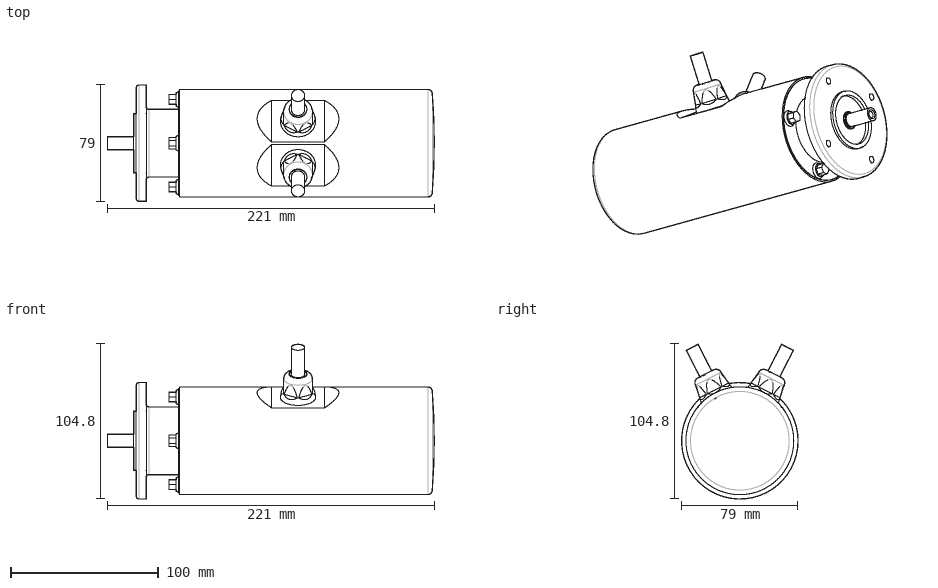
import cadquery as cq
import math

TOTAL_LENGTH = 221.0

SHAFT_DIAMETER = 9.0

CENTRE_MOUTH_DIAMETER = 6.2
CENTRE_ENTRY_DIAMETER = 4.5
CENTRE_ENTRY_DEPTH = 4.5
CENTRE_DRILL_DIAMETER = 3.5
CENTRE_DRILL_DEPTH = 8.8
COUNTERSINK_HALF_ANGLE = 45.0
DRILL_TIP_HALF_ANGLE = 60.0

PILOT_FACE_X = 17.7
PILOT_DIAMETER = 40.0
PILOT_RECESS_DIAMETER = 34.0
PILOT_RECESS_DEPTH = 2.7
COLLAR_DIAMETER = 12.0
COLLAR_FACE_DIAMETER = 10.8
COLLAR_HEIGHT = 1.3

FLANGE_FACE_X = 19.5
FLANGE_BACK_X = 26.3
FLANGE_DIAMETER = 79.0
FLANGE_FACE_DIAMETER = 75.0
FLANGE_EDGE_RADIUS = (FLANGE_DIAMETER - FLANGE_FACE_DIAMETER) / 2
FLANGE_HOLE_DIAMETER = 4.5
FLANGE_HOLE_SPACING = 44.6

HUB_DIAMETER = 46.0
HUB_FILLET = 1.8

HOUSING_FACE_X = 48.2
HOUSING_DIAMETER = 73.0
HOUSING_STEP_DIAMETER = 70.7
HOUSING_STEP_LENGTH = 0.5
HOUSING_REAR_FILLET = 3.0
HOUSING_REAR_DOME = 1.3

SCREW_COUNT = 4
SCREW_CIRCLE_RADIUS = 29.6
SCREW_HEAD_FACE_X = 41.5
SCREW_HEX_CORNERS = 7.7
SCREW_COLLAR_LENGTH = 1.8
SCREW_COLLAR_FRONT_DIAMETER = 9.0
SCREW_COLLAR_BACK_DIAMETER = 10.8

GLAND_TILT = 27.0
GLAND_X = 128.8
FLAT_DISTANCE = 33.0
FLAT_LENGTH = 35.8
FLAT_RAMP_ANGLE = 20.0

GLAND_BASE_DIAMETER = 23.9
GLAND_CAP_DIAMETER = 19.5
GLAND_CONE_TOP = 47.0
GLAND_HEX_FLATS = 19.7
GLAND_HEX_BOTTOM = 38.2
GLAND_LEDGE_ANGLE = 40.0
GLAND_MOUTH_DIAMETER = 12.0
GLAND_MOUTH_DEPTH = 0.7
GLAND_CAP_ROUND = (GLAND_CAP_DIAMETER - GLAND_MOUTH_DIAMETER) / 2
GLAND_TOP = GLAND_CONE_TOP + GLAND_CAP_ROUND
CABLE_DIAMETER = 9.0
CABLE_END = 71.0


def disc(x_start, x_end, diameter):
    """Cylinder on the motor axis between two X positions."""
    return cq.Workplane("YZ", origin=(x_start, 0, 0)).circle(diameter / 2).extrude(x_end - x_start)


def make_flange():
    """Flange with a rounded front edge, a recessed pilot boss, a shaft collar and four mounting holes."""
    flange = disc(FLANGE_FACE_X, FLANGE_BACK_X, FLANGE_DIAMETER)
    flange = flange.faces("<X").edges().fillet(FLANGE_EDGE_RADIUS)
    flange = flange.union(disc(PILOT_FACE_X, FLANGE_BACK_X, PILOT_DIAMETER))

    recess_floor_x = PILOT_FACE_X + PILOT_RECESS_DEPTH
    flange = flange.cut(disc(PILOT_FACE_X, recess_floor_x, PILOT_RECESS_DIAMETER))

    collar = disc(recess_floor_x - COLLAR_HEIGHT, recess_floor_x, COLLAR_DIAMETER)
    collar = collar.faces("<X").edges().chamfer((COLLAR_DIAMETER - COLLAR_FACE_DIAMETER) / 2)
    flange = flange.union(collar)

    holes = (
        cq.Workplane("YZ", origin=(FLANGE_FACE_X, 0, 0))
        .rect(FLANGE_HOLE_SPACING, FLANGE_HOLE_SPACING, forConstruction=True)
        .vertices()
        .circle(FLANGE_HOLE_DIAMETER / 2)
        .extrude(FLANGE_BACK_X - FLANGE_FACE_X)
    )
    return flange.cut(holes)


def make_hub():
    """Hub whose front end flares into the back of the flange."""
    radius = HUB_DIAMETER / 2
    return (
        cq.Workplane("XY")
        .moveTo(FLANGE_BACK_X, 0)
        .lineTo(FLANGE_BACK_X, radius + HUB_FILLET)
        .radiusArc((FLANGE_BACK_X + HUB_FILLET, radius), -HUB_FILLET)
        .lineTo(HOUSING_FACE_X, radius)
        .lineTo(HOUSING_FACE_X, 0)
        .close()
        .revolve(360, (0, 0, 0), (1, 0, 0))
    )


def make_housing():
    """Housing cylinder with a stepped front, a rounded rear edge and a domed rear face."""
    radius = HOUSING_DIAMETER / 2
    dome_edge_x = TOTAL_LENGTH - HOUSING_REAR_DOME
    dome_edge_radius = radius - HOUSING_REAR_FILLET
    dome_radius = (dome_edge_radius**2 + HOUSING_REAR_DOME**2) / (2 * HOUSING_REAR_DOME)
    return (
        cq.Workplane("XY")
        .moveTo(HOUSING_FACE_X, 0)
        .lineTo(HOUSING_FACE_X, HOUSING_STEP_DIAMETER / 2)
        .lineTo(HOUSING_FACE_X + HOUSING_STEP_LENGTH, HOUSING_STEP_DIAMETER / 2)
        .lineTo(HOUSING_FACE_X + HOUSING_STEP_LENGTH, radius)
        .lineTo(dome_edge_x - HOUSING_REAR_FILLET, radius)
        .radiusArc((dome_edge_x, dome_edge_radius), HOUSING_REAR_FILLET)
        .radiusArc((TOTAL_LENGTH, 0), dome_radius)
        .close()
        .revolve(360, (0, 0, 0), (1, 0, 0))
    )


def make_shaft():
    """Shaft with a stepped centre hole in its tip."""
    shaft = disc(0, FLANGE_BACK_X, SHAFT_DIAMETER)
    mouth_radius = CENTRE_MOUTH_DIAMETER / 2
    entry_radius = CENTRE_ENTRY_DIAMETER / 2
    drill_radius = CENTRE_DRILL_DIAMETER / 2
    countersink_depth = (mouth_radius - entry_radius) / math.tan(math.radians(COUNTERSINK_HALF_ANGLE))
    drill_tip_length = drill_radius / math.tan(math.radians(DRILL_TIP_HALF_ANGLE))
    centre_hole = (
        cq.Workplane("XY")
        .lineTo(0, mouth_radius)
        .lineTo(countersink_depth, entry_radius)
        .lineTo(CENTRE_ENTRY_DEPTH, entry_radius)
        .lineTo(CENTRE_ENTRY_DEPTH, drill_radius)
        .lineTo(CENTRE_DRILL_DEPTH, drill_radius)
        .lineTo(CENTRE_DRILL_DEPTH + drill_tip_length, 0)
        .close()
        .revolve(360, (0, 0, 0), (1, 0, 0))
    )
    return shaft.cut(centre_hole)


def make_screw(angle):
    """Hexagon screw head with its collar, turned about the motor axis to its place."""
    collar_x = HOUSING_FACE_X - SCREW_COLLAR_LENGTH
    head = (
        cq.Workplane("YZ", origin=(SCREW_HEAD_FACE_X, 0, SCREW_CIRCLE_RADIUS))
        .polygon(6, SCREW_HEX_CORNERS)
        .extrude(collar_x - SCREW_HEAD_FACE_X)
    )
    collar = (
        cq.Workplane("YZ", origin=(collar_x, 0, SCREW_CIRCLE_RADIUS))
        .circle(SCREW_COLLAR_FRONT_DIAMETER / 2)
        .workplane(offset=SCREW_COLLAR_LENGTH)
        .circle(SCREW_COLLAR_BACK_DIAMETER / 2)
        .loft()
    )
    return head.union(collar).rotate((0, 0, 0), (1, 0, 0), angle)


def make_flat_cutter(tilt):
    """Block above one gland flat, widening outward along the two end ramps."""
    height = HOUSING_DIAMETER / 2
    half_bottom = FLAT_LENGTH / 2
    half_top = half_bottom + height / math.tan(math.radians(FLAT_RAMP_ANGLE))
    top = FLAT_DISTANCE + height
    return (
        cq.Workplane("XZ", origin=(GLAND_X, 0, 0))
        .moveTo(-half_bottom, FLAT_DISTANCE)
        .lineTo(half_bottom, FLAT_DISTANCE)
        .lineTo(half_top, top)
        .lineTo(-half_top, top)
        .close()
        .extrude(HOUSING_DIAMETER / 2, both=True)
        .rotate((0, 0, 0), (1, 0, 0), tilt)
    )


def make_motor():
    """Motor with its flange, hub, housing, shaft and screws as one body."""
    motor = make_housing()
    for side in (-1, 1):
        motor = motor.cut(make_flat_cutter(side * GLAND_TILT))
    motor = motor.union(make_hub()).union(make_flange()).union(make_shaft())
    for index in range(SCREW_COUNT):
        motor = motor.union(make_screw(index * 360 / SCREW_COUNT))
    return motor


def make_gland(tilt):
    """Conical cable gland with six wrench flats and its cable, standing on a flat."""
    base_radius = GLAND_BASE_DIAMETER / 2
    cap_radius = GLAND_CAP_DIAMETER / 2
    gland = (
        cq.Workplane("XZ")
        .moveTo(0, FLAT_DISTANCE)
        .lineTo(base_radius, FLAT_DISTANCE)
        .lineTo(cap_radius, GLAND_CONE_TOP)
        .radiusArc((cap_radius - GLAND_CAP_ROUND, GLAND_TOP), -GLAND_CAP_ROUND)
        .lineTo(0, GLAND_TOP)
        .close()
        .revolve(360, (0, 0, 0), (0, 1, 0))
    )

    hexagon = cq.Sketch().regularPolygon(GLAND_HEX_FLATS / 2 / math.cos(math.pi / 6), 6)
    hex_plane = cq.Workplane("XY", origin=(0, 0, GLAND_HEX_BOTTOM))
    wrench_flats = hex_plane.placeSketch(hexagon).extrude(GLAND_TOP - GLAND_HEX_BOTTOM)
    ledges = hex_plane.placeSketch(hexagon).extrude(
        FLAT_DISTANCE - GLAND_HEX_BOTTOM, taper=-GLAND_LEDGE_ANGLE
    )
    gland = gland.intersect(wrench_flats.union(ledges))

    mouth_floor = cq.Workplane("XY", origin=(0, 0, GLAND_TOP - GLAND_MOUTH_DEPTH))
    gland = gland.cut(mouth_floor.circle(GLAND_MOUTH_DIAMETER / 2).extrude(GLAND_MOUTH_DEPTH))

    cable = (
        cq.Workplane("XY", origin=(0, 0, FLAT_DISTANCE))
        .circle(CABLE_DIAMETER / 2)
        .extrude(CABLE_END - FLAT_DISTANCE)
    )
    gland = gland.union(cable)
    return gland.translate((GLAND_X, 0, 0)).rotate((0, 0, 0), (1, 0, 0), tilt)


motor = make_motor()
glands = [make_gland(side * GLAND_TILT) for side in (-1, 1)]

result = cq.Compound.makeCompound([motor.val(), *[gland.val() for gland in glands]])